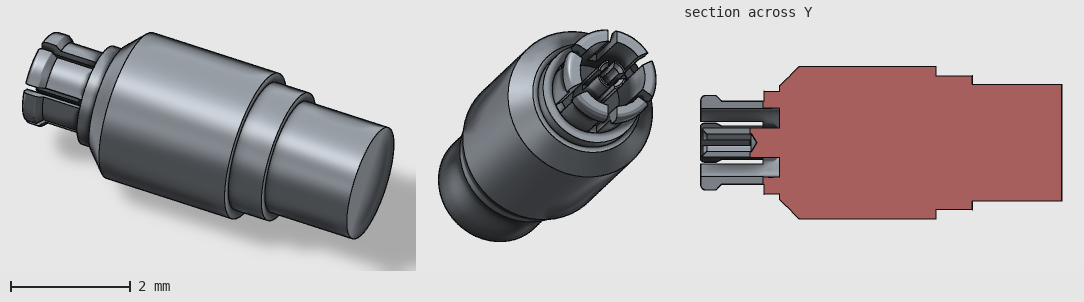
import cadquery as cq
import math

total_length = 6.04

flange_start = 1.06
flange_radius = 0.865
body_start = 1.315
body_radius = 1.28
body_end = 3.94
body_chamfer = 0.325
collar_radius = 1.125
collar_end = 4.54
ferrule_radius = 0.98

finger_count = 6
finger_radius = 0.7
finger_bore_radius = 0.575
finger_bore_depth = body_start
finger_slot_width = 0.16
finger_slot_depth = 1.04
first_slot_angle = 30.0
lip_radius = 0.8
lip_taper_end = 0.35
lip_taper_angle = 45.0
lip_nose_round = 0.09
lip_heel_round = 0.035

pin_start = 0.035
pin_radius = 0.25
pin_bore_radius = 0.15
pin_bore_depth = 0.845
pin_mouth_radius = 0.22
pin_slot_count = 2
pin_slot_width = 0.095
pin_slot_end = 0.82
pin_drill_point_angle = 118.0


def revolve_about_x(profile):
    """Close an (X, radius) outline and turn it around the X axis."""
    return profile.close().revolve(360, (0, 0, 0), (1, 0, 0))


def cylinder(start, end, radius):
    return cq.Workplane("YZ", origin=(start, 0, 0)).circle(radius).extrude(end - start)


def cross_slot(start, end, length, width, angle):
    """A slot cutter running across the axis, turned about X from the Y direction."""
    cutter = cq.Workplane("YZ", origin=(start, 0, 0)).rect(length, width).extrude(end - start)
    return cutter.rotate((0, 0, 0), (1, 0, 0), angle)


def make_body():
    """Stepped outer body: front flange, chamfered barrel, collar and rear ferrule."""
    flange = cylinder(flange_start, body_start, flange_radius)
    barrel = cylinder(body_start, body_end, body_radius).faces("<X").chamfer(body_chamfer)
    collar = cylinder(body_end, collar_end, collar_radius)
    ferrule = cylinder(collar_end, total_length, ferrule_radius)
    return flange.union(barrel).union(collar).union(ferrule)


def make_finger_blank():
    """Round plug for the fingers, with a rounded lip at its nose and a taper behind the lip."""
    taper = math.radians(lip_taper_angle)
    lip_end = lip_taper_end - (lip_radius - finger_radius) / math.tan(taper)
    nose_mid = lip_nose_round * (1 - math.cos(math.radians(45)))
    heel_start = lip_end - lip_heel_round * math.tan(taper / 2)

    def heel_point(angle):
        drop = lip_heel_round * (1 - math.cos(angle))
        return (heel_start + lip_heel_round * math.sin(angle), lip_radius - drop)

    profile = (
        cq.Workplane("XY")
        .moveTo(0, 0)
        .lineTo(0, lip_radius - lip_nose_round)
        .threePointArc((nose_mid, lip_radius - nose_mid), (lip_nose_round, lip_radius))
        .lineTo(heel_start, lip_radius)
        .threePointArc(heel_point(taper / 2), heel_point(taper))
        .lineTo(lip_taper_end, finger_radius)
        .lineTo(body_start, finger_radius)
        .lineTo(body_start, 0)
    )
    return revolve_about_x(profile)


def cut_finger_slots(part):
    """Each slot runs across the full ring, so it parts two opposite pairs of fingers."""
    slots_across = finger_count // 2
    for index in range(slots_across):
        angle = first_slot_angle + index * 180 / slots_across
        slot = cross_slot(0, finger_slot_depth, 2 * lip_radius, finger_slot_width, angle)
        part = part.cut(slot)
    return part


def make_pin():
    """Split socket contact with a countersunk mouth and a drilled bore ending in a cone."""
    mouth_end = pin_start + pin_mouth_radius - pin_bore_radius
    drill_point_length = pin_bore_radius / math.tan(math.radians(pin_drill_point_angle / 2))
    bore = (
        cq.Workplane("XY")
        .moveTo(pin_start, 0)
        .lineTo(pin_start, pin_mouth_radius)
        .lineTo(mouth_end, pin_bore_radius)
        .lineTo(pin_bore_depth, pin_bore_radius)
        .lineTo(pin_bore_depth + drill_point_length, 0)
    )
    pin = cylinder(pin_start, finger_bore_depth, pin_radius).cut(revolve_about_x(bore))
    for index in range(pin_slot_count):
        angle = index * 180 / pin_slot_count
        pin = pin.cut(cross_slot(pin_start, pin_slot_end, 2 * pin_radius, pin_slot_width, angle))
    return pin


shell = make_body().union(make_finger_blank())
shell = shell.cut(cylinder(0, finger_bore_depth, finger_bore_radius))
shell = cut_finger_slots(shell)
result = shell.union(make_pin())